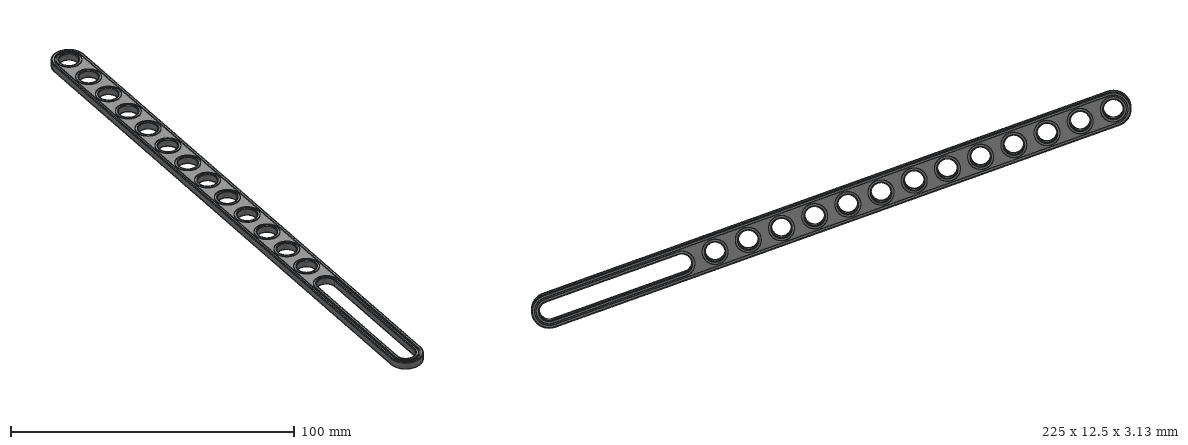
import cadquery as cq

PITCH = 12.5
LENGTH_UNITS = 18
ROUND_HOLES = 13
HOLE_DIAMETER = 7.0
RIM_WIDTH = 1.1
RECESS_DEPTH = 0.2
EDGE_CHAMFER = 0.3

WIDTH = PITCH
LENGTH = LENGTH_UNITS * PITCH
THICKNESS = PITCH / 4
RIM_DIAMETER = HOLE_DIAMETER + 2 * RIM_WIDTH
SLOT_CENTER_SPAN = (LENGTH_UNITS - ROUND_HOLES - 1) * PITCH


def grid_x(index):
    """X of a grid position, counted from the -X end of the bar."""
    return (index + 0.5) * PITCH - LENGTH / 2


def make_openings(diameter, height):
    """Solids for the row of holes and the long slot, all of the given diameter."""
    hole_centers = [(grid_x(index), 0) for index in range(ROUND_HOLES)]
    holes = cq.Workplane("XY").pushPoints(hole_centers).circle(diameter / 2).extrude(height)
    slot_x = (grid_x(ROUND_HOLES) + grid_x(LENGTH_UNITS - 1)) / 2
    slot_outline = cq.Workplane("XY").center(slot_x, 0).slot2D(SLOT_CENTER_SPAN + diameter, diameter)
    return holes.union(slot_outline.extrude(height))


def make_bar():
    """Flat bar with full-round ends, pierced by the holes and the slot, all edges bevelled."""
    bar = cq.Workplane("XY").slot2D(LENGTH, WIDTH).extrude(THICKNESS)
    bar = bar.cut(make_openings(HOLE_DIAMETER, THICKNESS))
    return bar.faces("<Z or >Z").edges().chamfer(EDGE_CHAMFER)


def make_recess():
    """Shallow panel inside the outer border, leaving a raised ring around every opening."""
    panel = cq.Workplane("XY").slot2D(LENGTH - 2 * RIM_WIDTH, WIDTH - 2 * RIM_WIDTH)
    return panel.extrude(RECESS_DEPTH).cut(make_openings(RIM_DIAMETER, RECESS_DEPTH))


def cut_recesses(bar):
    """Sink the panel into the bottom and the top face."""
    recess = make_recess()
    for base_z in (0, THICKNESS - RECESS_DEPTH):
        bar = bar.cut(recess.translate((0, 0, base_z)))
    return bar


result = cut_recesses(make_bar())